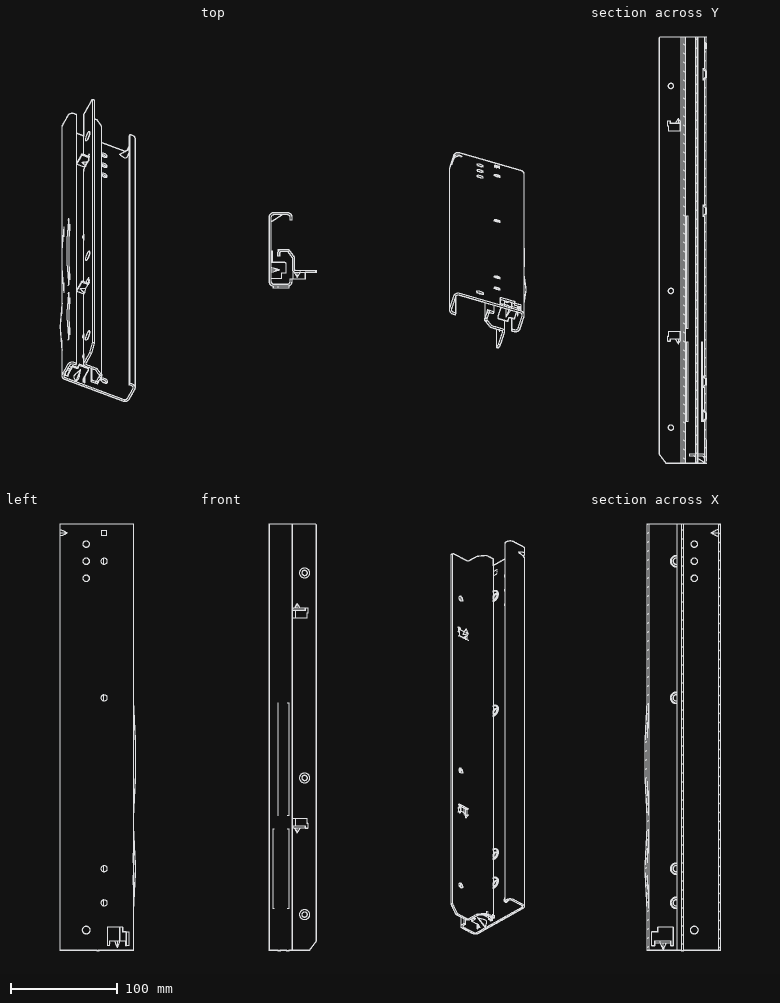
import cadquery as cq
import math

OVERALL_LENGTH = 400.0
RAIL_LUG_HEIGHT = 0.6
LENGTH = OVERALL_LENGTH - RAIL_LUG_HEIGHT
SHEET = 2.0

CHANNEL_HEIGHT = 69.0
CHANNEL_WIDTH = 21.6
CHANNEL_LIP = 7.0
CHANNEL_BEND = 2.5

SCREW_LINE_Y = 27.6
HOLE_PITCH = 32.0
LOWEST_SCREW_Z = 44.4
SCREW_HOLE_ZS = [LOWEST_SCREW_Z + HOLE_PITCH * step for step in (0, 1, 6, 10)]
SCREW_HOLE_DIAMETER = 5.8
SCREW_SINK_DIAMETER = 9.6
SCREW_RIM_DIAMETER = 11.0
SCREW_RIM_HEIGHT = 1.0
FIXING_LINE_Y = 44.4
FIXING_HOLE_ZS = [max(SCREW_HOLE_ZS) + HOLE_PITCH / 2 * step for step in (-1, 0, 1)]
FIXING_HOLE_DIAMETER = 5.8
LOWER_HOLE_Z = 18.9
LOWER_HOLE_DIAMETER = 7.0

STAMP_Z = 390.9
STAMP_SIZE = 4.8
STAMP_DEPTH = SHEET / 2
CORNER_GUSSET_REACH = (10.5, 6.8)
CORNER_GUSSET_WIDTH = 7.5

PAD_HEIGHT = 1.8
PAD_RIGHT_X = 18.9
UPPER_PAD = {"left": 8.2, "bottom": 126.2, "top": 231.4, "level": 35.0}
LOWER_PAD = {"left": 3.8, "bottom": 38.9, "top": 113.4, "level": 6.0}

WINDOW_Y = (4.2, 24.5)
WINDOW_Z = (4.4, 21.7)
WINDOW_STEP_Y = 10.2
WINDOW_STEP = 4.6
STOP_TAB_Y = (7.2, 22.5)
STOP_TAB_REACH = 16.0
STOP_TAB_SHORT_REACH = 11.8
STOP_TAB_STEP_Y = 12.4
STOP_TAB_CORNER = 1.5
STOP_GUSSET_Y = 15.3
STOP_GUSSET_REACH = (10.0, 6.2)
STOP_GUSSET_WIDTH = 6.0

RAIL_RIGHT_X = 44.4
RAIL_HOOK_X = 8.1
RAIL_HOOK_TOP_Y = 34.4
RAIL_HOOK_LIP_Y = 28.2
RAIL_SLOPE_X = 18.6
RAIL_SLOPE_END_Y = 27.0
RAIL_WEB_X = 24.0
RAIL_FLANGE_TOP_Y = 14.9
RAIL_BEND = 1.0
RAIL_CORNER_CUT = (6.5, 8.5)
RAIL_TOP_CORNER_CUT = 1.0

RAIL_HOLE_X = 33.3
LOWEST_RAIL_HOLE_Z = 33.4
RAIL_HOLE_ZS = [LOWEST_RAIL_HOLE_Z + HOLE_PITCH * step for step in (0, 4, 10)]
RAIL_HOLE_DIAMETER = 4.8
RAIL_SINK_DIAMETER = 9.4

RAIL_WINDOW_X = (21.0, 35.4)
RAIL_RELIEF_X = 36.4
RAIL_RELIEF_HEIGHT = 4.5
RAIL_WINDOW_HEIGHT = 9.0
RAIL_TAB_X = (22.4, 34.0)
RAIL_TAB_DEPTH = 6.2
UPPER_TAB_Z = 320.4
LOWER_TAB_Z = 114.4
TAB_GUSSET_X = 26.4
TAB_GUSSET_REACH = 4.5
TAB_GUSSET_WIDTH = 5.2

RAIL_LUG_WIDTH = 2.2
RAIL_LUG_XS = (8.6, 16.4)


def bent_sheet(path, bend_radius):
    """Sheet along Z whose thickness lies to the right of a path of straight stretches."""
    directions = []
    for (x0, y0), (x1, y1) in zip(path, path[1:]):
        run = math.hypot(x1 - x0, y1 - y0)
        directions.append(((x1 - x0) / run, (y1 - y0) / run))
    before = directions[:1] + directions
    after = directions + directions[-1:]

    offset_path = []
    turns = []
    for (x, y), (ax, ay), (bx, by) in zip(path, before, after):
        miter = SHEET / (1 + ax * bx + ay * by)
        offset_path.append((x + miter * (ay + by), y - miter * (ax + bx)))
        turns.append(ax * by - ay * bx)

    sheet = cq.Workplane("XY").polyline(path + offset_path[::-1]).close().extrude(LENGTH)
    bends = list(zip(path, offset_path, turns))[1:-1]
    for path_point, offset_point, turn in bends:
        turns_right = turn < 0
        outside, inside = (path_point, offset_point) if turns_right else (offset_point, path_point)
        for (x, y), radius in ((outside, bend_radius + SHEET), (inside, bend_radius)):
            corner = cq.selectors.NearestToPointSelector((x, y, LENGTH / 2))
            sheet = sheet.edges("|Z").edges(corner).fillet(radius)
    return sheet


def box(x_range, y_range, z_range):
    size = [high - low for low, high in (x_range, y_range, z_range)]
    return cq.Workplane("XY").box(*size, centered=False).translate((x_range[0], y_range[0], z_range[0]))


def gusset(corner, reach_a, reach_b, half_width):
    """Four-sided wedge: its ridge joins the ends of two reaches, its back lies along a bend."""
    origin = cq.Vector(*corner)
    along = cq.Vector(*half_width)
    points = [
        origin + cq.Vector(*reach_a),
        origin + cq.Vector(*reach_b),
        origin + along,
        origin - along,
    ]
    faces = []
    for skipped in range(len(points)):
        rim = points[:skipped] + points[skipped + 1:]
        faces.append(cq.Face.makeFromWires(cq.Wire.makePolygon(rim, close=True)))
    return cq.Workplane(cq.Solid.makeSolid(cq.Shell.makeShell(faces)))


def add_gusset(body, outer_corner, side_a, side_b, reaches, half_width):
    """Press a gusset into a bend: a hollow outside, and a rib of the same shape inside."""
    toward_a = cq.Vector(*side_a)
    toward_b = cq.Vector(*side_b)
    outer = cq.Vector(*outer_corner)
    inner = outer + (toward_a + toward_b) * SHEET
    reach_a = (toward_a * reaches[0]).toTuple()
    reach_b = (toward_b * reaches[1]).toTuple()
    rib = gusset(inner.toTuple(), reach_a, reach_b, half_width)
    hollow = gusset(outer.toTuple(), reach_a, reach_b, half_width)
    return body.union(rib).cut(hollow)


def web_cylinders(y, z_values, diameter, depth):
    """Cylinders along X, starting at the outer face of the channel web."""
    places = [(y, z) for z in z_values]
    return cq.Workplane("YZ").pushPoints(places).circle(diameter / 2).extrude(depth)


def add_screw_holes(channel):
    """Holes countersunk from inside the channel, each within a raised round rim."""
    depth = SHEET + SCREW_RIM_HEIGHT
    sink_depth = (SCREW_SINK_DIAMETER - SCREW_HOLE_DIAMETER) / 2
    rims = web_cylinders(SCREW_LINE_Y, SCREW_HOLE_ZS, SCREW_RIM_DIAMETER, SCREW_RIM_HEIGHT)
    channel = channel.union(rims.translate((SHEET, 0, 0)))
    channel = channel.cut(web_cylinders(SCREW_LINE_Y, SCREW_HOLE_ZS, SCREW_HOLE_DIAMETER, depth))
    for z in SCREW_HOLE_ZS:
        sink = cq.Solid.makeCone(
            SCREW_HOLE_DIAMETER / 2, SCREW_SINK_DIAMETER / 2, sink_depth,
            pnt=cq.Vector(depth - sink_depth, SCREW_LINE_Y, z), dir=cq.Vector(1, 0, 0),
        )
        channel = channel.cut(cq.Workplane(sink))
    return channel


def add_ramped_pad(channel, left, bottom, top, level):
    """Bulge of the lower flange: sheet of constant thickness, with two ramps and a level middle."""
    middle = (bottom + top) / 2
    ramps = [
        (0, bottom),
        (-PAD_HEIGHT, middle - level / 2),
        (-PAD_HEIGHT, middle + level / 2),
        (0, top),
    ]
    flange_part = [(SHEET, top), (SHEET, bottom)]
    width = PAD_RIGHT_X - left
    bulge = cq.Workplane("YZ").workplane(offset=left).polyline(ramps + flange_part).close().extrude(width)
    hollow = cq.Workplane("YZ").workplane(offset=left).polyline(ramps).close().extrude(width)
    return channel.union(bulge).cut(hollow.translate((0, SHEET, 0)))


def add_stop_tab(channel):
    """Stepped window in the web, with its blank bent inwards along the lower side."""
    low_y, high_y = WINDOW_Y
    low_z, high_z = WINDOW_Z
    window = [
        (low_y, low_z),
        (high_y, low_z),
        (high_y, high_z),
        (WINDOW_STEP_Y, high_z),
        (WINDOW_STEP_Y, high_z - WINDOW_STEP),
        (low_y, high_z - WINDOW_STEP),
    ]
    channel = channel.cut(cq.Workplane("YZ").polyline(window).close().extrude(SHEET))

    tab_low_y, tab_high_y = STOP_TAB_Y
    tab_top = low_z + CHANNEL_BEND + SHEET
    tab_bottom = tab_top - SHEET
    root_z = low_z - SHEET
    side = [
        (0, root_z),
        (0, tab_top),
        (STOP_TAB_REACH, tab_top),
        (STOP_TAB_REACH, tab_bottom),
        (SHEET, tab_bottom),
        (SHEET, root_z),
    ]
    tab = cq.Workplane("XZ").polyline(side).close().extrude(tab_low_y - tab_high_y)
    tab = tab.translate((0, tab_low_y, 0))
    for x, z, radius in ((0, tab_top, CHANNEL_BEND + SHEET), (SHEET, tab_bottom, CHANNEL_BEND)):
        bend = cq.selectors.NearestToPointSelector((x, (tab_low_y + tab_high_y) / 2, z))
        tab = tab.edges("|Y").edges(bend).fillet(radius)
    tab = tab.edges("|Z and >X and >Y").fillet(STOP_TAB_CORNER)
    notch = box(
        (STOP_TAB_SHORT_REACH, STOP_TAB_REACH), (tab_low_y, STOP_TAB_STEP_Y), (tab_bottom, tab_top)
    )
    channel = channel.union(tab.cut(notch))
    return add_gusset(
        channel, (0, STOP_GUSSET_Y, tab_top), (1, 0, 0), (0, 0, -1),
        STOP_GUSSET_REACH, (0, STOP_GUSSET_WIDTH / 2, 0),
    )


def make_channel():
    channel = bent_sheet(
        [
            (CHANNEL_WIDTH, CHANNEL_LIP),
            (CHANNEL_WIDTH, 0),
            (0, 0),
            (0, CHANNEL_HEIGHT),
            (CHANNEL_WIDTH, CHANNEL_HEIGHT),
            (CHANNEL_WIDTH, CHANNEL_HEIGHT - CHANNEL_LIP),
        ],
        CHANNEL_BEND,
    )
    for pad in (UPPER_PAD, LOWER_PAD):
        channel = add_ramped_pad(channel, **pad)
    channel = add_screw_holes(channel)
    channel = channel.cut(web_cylinders(FIXING_LINE_Y, FIXING_HOLE_ZS, FIXING_HOLE_DIAMETER, SHEET))
    channel = channel.cut(web_cylinders(FIXING_LINE_Y, (LOWER_HOLE_Z,), LOWER_HOLE_DIAMETER, SHEET))
    stamp = cq.Workplane("YZ").center(SCREW_LINE_Y, STAMP_Z).rect(STAMP_SIZE, STAMP_SIZE).extrude(STAMP_DEPTH)
    channel = channel.cut(stamp)
    channel = add_gusset(
        channel, (0, CHANNEL_HEIGHT, STAMP_Z), (1, 0, 0), (0, -1, 0),
        CORNER_GUSSET_REACH, (0, 0, CORNER_GUSSET_WIDTH / 2),
    )
    return add_stop_tab(channel)


def add_locating_tab(rail, bend_z, up):
    """Tab under the rail flange, level with bend_z; its window lies on the side away from `up`."""
    flange_bottom = RAIL_FLANGE_TOP_Y - SHEET
    tab_z = sorted((bend_z, bend_z - up * SHEET))
    window_z = sorted((bend_z, bend_z - up * RAIL_WINDOW_HEIGHT))
    relief_x = (RAIL_WINDOW_X[1], RAIL_RELIEF_X)
    relief_z = sorted((bend_z, bend_z - up * RAIL_RELIEF_HEIGHT))
    window_y = (flange_bottom, RAIL_FLANGE_TOP_Y)
    rail = rail.cut(box(RAIL_WINDOW_X, window_y, window_z))
    rail = rail.cut(box(relief_x, window_y, relief_z))
    tab = box(RAIL_TAB_X, (flange_bottom - RAIL_TAB_DEPTH, RAIL_FLANGE_TOP_Y), tab_z)
    rail = rail.union(tab)
    return add_gusset(
        rail, (TAB_GUSSET_X, RAIL_FLANGE_TOP_Y, bend_z - up * SHEET), (0, -1, 0), (0, 0, up),
        (TAB_GUSSET_REACH, TAB_GUSSET_REACH), (TAB_GUSSET_WIDTH / 2, 0, 0),
    )


def cut_flange_holes(rail):
    """Holes countersunk from below through the whole thickness of the rail flange."""
    flange_bottom = RAIL_FLANGE_TOP_Y - SHEET
    for z in RAIL_HOLE_ZS:
        sink = cq.Solid.makeCone(
            RAIL_SINK_DIAMETER / 2, RAIL_HOLE_DIAMETER / 2, SHEET,
            pnt=cq.Vector(RAIL_HOLE_X, flange_bottom, z), dir=cq.Vector(0, 1, 0),
        )
        rail = rail.cut(cq.Workplane(sink))
    return rail


def add_hook_lugs(rail):
    """Two short lugs that prolong the flat of the hook at its lower end."""
    lug_y = (RAIL_HOOK_TOP_Y - SHEET, RAIL_HOOK_TOP_Y)
    for x in RAIL_LUG_XS:
        rail = rail.union(box((x, x + RAIL_LUG_WIDTH), lug_y, (-RAIL_LUG_HEIGHT, SHEET)))
    return rail


def make_rail():
    rail = bent_sheet(
        [
            (RAIL_HOOK_X, RAIL_HOOK_LIP_Y),
            (RAIL_HOOK_X, RAIL_HOOK_TOP_Y),
            (RAIL_SLOPE_X, RAIL_HOOK_TOP_Y),
            (RAIL_WEB_X, RAIL_SLOPE_END_Y),
            (RAIL_WEB_X, RAIL_FLANGE_TOP_Y),
            (RAIL_RIGHT_X, RAIL_FLANGE_TOP_Y),
        ],
        RAIL_BEND,
    )
    rail = rail.edges("|Y and >X and >Z").chamfer(RAIL_TOP_CORNER_CUT)
    cut_x, cut_z = RAIL_CORNER_CUT
    corner = [(RAIL_RIGHT_X, 0), (RAIL_RIGHT_X - cut_x, 0), (RAIL_RIGHT_X, cut_z)]
    rail = rail.cut(cq.Workplane("XZ").polyline(corner).close().extrude(-RAIL_FLANGE_TOP_Y))

    rail = add_hook_lugs(rail)
    rail = cut_flange_holes(rail)
    rail = add_locating_tab(rail, UPPER_TAB_Z, 1)
    return add_locating_tab(rail, LOWER_TAB_Z, -1)


channel = make_channel()
rail = make_rail()

result = cq.Compound.makeCompound([channel.val(), rail.val()])